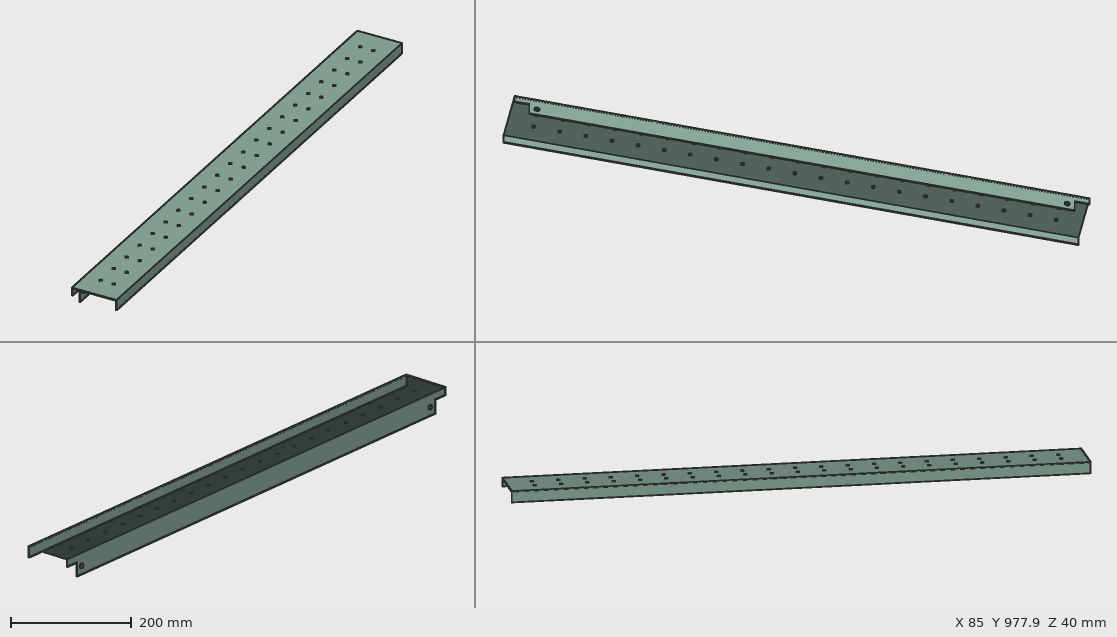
import cadquery as cq

length = 977.9
width = 85.0
tall_flange = 40.0
short_flange = 20.0
sheet = 2.0

notch_length = 25.0
notch_top_depth = 15.0

mount_diameter = 8.5
mount_end_distance = 38.0
mount_depth = 25.0

web_diameter = 5.0
row_count = 2
row_spacing = 25.0
pitch = 44.45
holes_per_row = round(length / pitch) - 1

clearance = 1.0
through_sheet = sheet + 2 * clearance

top = tall_flange
left_face = -width / 2
right_face = width / 2


def make_channel():
    """Folded section with unequal flanges, running the full length along Y."""
    outline = [
        (left_face, 0),
        (left_face, top),
        (right_face, top),
        (right_face, top - short_flange),
        (right_face - sheet, top - short_flange),
        (right_face - sheet, top - sheet),
        (left_face + sheet, top - sheet),
        (left_face + sheet, 0),
    ]
    section = cq.Workplane("XZ").polyline(outline).close()
    return section.extrude(length / 2, both=True)


def make_end_notches():
    """Cutters for the lower corners of the tall flange, one at each end."""
    notch_y = (length - notch_length) / 2
    plane = cq.Workplane("XY").center(left_face + sheet / 2, 0)
    centres = plane.pushPoints([(0, -notch_y), (0, notch_y)])
    return centres.rect(through_sheet, notch_length).extrude(top - notch_top_depth)


def make_mount_holes():
    """Cutters along X through the tall flange, one near each end."""
    mount_y = length / 2 - mount_end_distance
    mount_z = top - mount_depth
    plane = cq.Workplane("YZ", origin=(left_face - clearance, 0, 0))
    centres = plane.pushPoints([(-mount_y, mount_z), (mount_y, mount_z)])
    return centres.circle(mount_diameter / 2).extrude(through_sheet)


def make_web_holes():
    """Cutters along Z through the top web, in evenly pitched rows."""
    plane = cq.Workplane("XY", origin=(0, 0, top - sheet - clearance))
    centres = plane.rarray(row_spacing, pitch, row_count, holes_per_row)
    return centres.circle(web_diameter / 2).extrude(through_sheet)


result = make_channel()
result = result.cut(make_end_notches())
result = result.cut(make_mount_holes())
result = result.cut(make_web_holes())